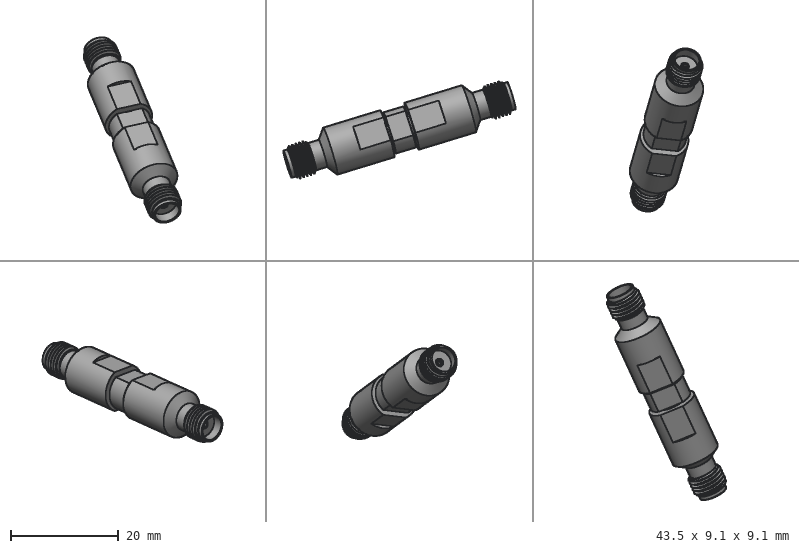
import cadquery as cq
import math

length = 43.5
half_length = length / 2

barrel_radius = 4.55
barrel_inner_x = 2.4
barrel_outer_x = 13.45
shoulder_end_x = 14.85
waist_radius = 2.55

collar_radius = 4.0
collar_width = 3.85
collar_across_flats = 6.35

barrel_across_flats = 7.9
barrel_flat_end_x = 8.3

neck_radius = 2.65
thread_radius = 3.2
thread_pitch = 0.7
thread_end_gap = 0.75
thread_length = 4.05
thread_root_width = 0.6
thread_crest_width = 0.1
thread_overlap = 0.1
thread_start_angle = 60

socket_radius = 2.3
socket_depth = 1.9
contact_radius = 0.6
contact_gap_radius = 0.75
contact_gap_depth = 0.85
contact_hole_radius = 0.45
contact_hole_depth = 1.75
contact_tip_angle = 120
contact_tip_length = contact_hole_radius / math.tan(math.radians(contact_tip_angle / 2))


def x_cylinder(radius, start_x, end_x):
    """Solid cylinder on the X axis between two stations."""
    return cq.Workplane("YZ", origin=(start_x, 0, 0)).circle(radius).extrude(end_x - start_x)


def cut_flats(body, across_flats, width):
    """Trim the body, top and bottom, to a given height within |X| < width / 2."""
    barrel_diameter = 2 * barrel_radius
    cutter = cq.Workplane("XY").box(width, barrel_diameter, barrel_diameter)
    cutter_z = (across_flats + barrel_diameter) / 2
    for side in (1, -1):
        body = body.cut(cutter.translate((0, 0, side * cutter_z)))
    return body


def turned_core():
    """Barrels with conical shoulders, plain necks and the waist between the barrels."""
    profile = [
        (-half_length, 0),
        (-half_length, neck_radius),
        (-shoulder_end_x, neck_radius),
        (-barrel_outer_x, barrel_radius),
        (-barrel_inner_x, barrel_radius),
        (-barrel_inner_x, waist_radius),
        (barrel_inner_x, waist_radius),
        (barrel_inner_x, barrel_radius),
        (barrel_outer_x, barrel_radius),
        (shoulder_end_x, neck_radius),
        (half_length, neck_radius),
        (half_length, 0),
    ]
    return cq.Workplane("XY").polyline(profile).close().revolve(360, (0, 0, 0), (1, 0, 0))


def collar():
    """Central collar with a flat above and below."""
    blank = x_cylinder(collar_radius, -collar_width / 2, collar_width / 2)
    return cut_flats(blank, collar_across_flats, collar_width)


def thread_ridge():
    """Right-handed helical ridge starting at X = 0, with both ends chamfered down to the neck."""
    base_radius = neck_radius - thread_overlap
    helix = cq.Wire.makeHelix(thread_pitch, thread_length + thread_pitch, base_radius)
    ridge = (
        cq.Workplane("XZ")
        .polyline([
            (base_radius, -thread_root_width / 2),
            (base_radius, thread_root_width / 2),
            (thread_radius, thread_crest_width / 2),
            (thread_radius, -thread_crest_width / 2),
        ])
        .close()
        .sweep(cq.Workplane(obj=helix), isFrenet=True)
        .rotate((0, 0, 0), (0, 1, 0), 90)
        .rotate((0, 0, 0), (1, 0, 0), thread_start_angle)
        .translate((-thread_pitch / 2, 0, 0))
    )
    envelope_radius = thread_radius + thread_overlap
    envelope = x_cylinder(envelope_radius, 0, thread_length)
    envelope = envelope.edges().chamfer(envelope_radius - neck_radius)
    return ridge.intersect(envelope)


def socket():
    """Tool for the left-hand socket: wide bore, ring gap around the contact and pointed contact hole."""
    floor_x = -half_length + socket_depth
    gap_x = floor_x + contact_gap_depth
    hole_x = floor_x + contact_hole_depth
    profile = [
        (-half_length, 0),
        (-half_length, socket_radius),
        (floor_x, socket_radius),
        (floor_x, contact_gap_radius),
        (gap_x, contact_gap_radius),
        (gap_x, contact_radius),
        (floor_x, contact_radius),
        (floor_x, contact_hole_radius),
        (hole_x, contact_hole_radius),
        (hole_x + contact_tip_length, 0),
    ]
    return cq.Workplane("XY").polyline(profile).close().revolve(360, (0, 0, 0), (1, 0, 0))


result = cut_flats(turned_core(), barrel_across_flats, 2 * barrel_flat_end_x).union(collar())

thread = thread_ridge()
left_thread_x = -half_length + thread_end_gap
right_thread_x = half_length - thread_end_gap - thread_length
for thread_x in (left_thread_x, right_thread_x):
    result = result.union(thread.translate((thread_x, 0, 0)))

left_socket = socket()
right_socket = left_socket.mirror("YZ")
result = result.cut(left_socket).cut(right_socket)